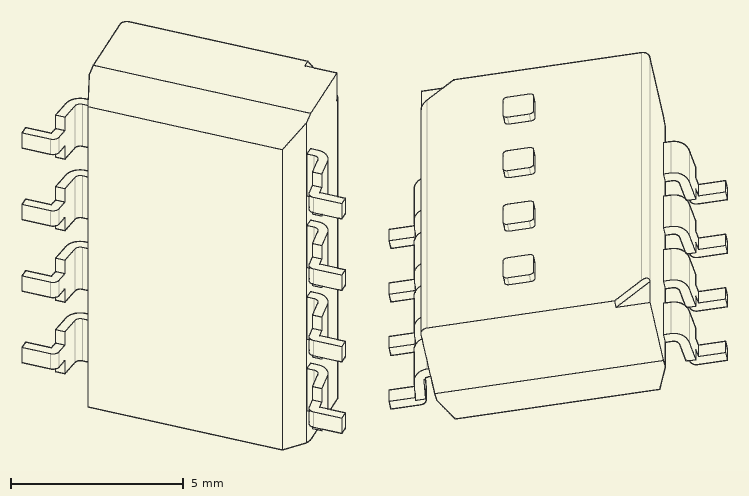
import cadquery as cq
import math


overall_depth = 4.28
body_width = 6.73
body_length = 11.63
body_front_y = 0.26
body_back_y = 4.02
back_edge_radius = 0.21
side_draft_depth = 1.05
end_draft_depth = 1.37
draft_slope = 0.34
corner_cut_leg = 1.0
corner_cut_depth = 0.25

row_count = 4
row_pitch = 2.55

knob_width = 0.9
knob_length = 0.95
knob_corner_radius = 0.13
knob_offset_x = 0.42
knob_offset_z = -0.02

lead_span = 9.91
lead_thickness = 0.29
lead_top_y = 1.62
shoulder_width = 1.5
shoulder_end_y = 0.55
foot_width = 0.55
shoulder_run = 0.22
upper_bend_radius = 0.47
lower_bend_radius = 0.2
leg_lean = 6.5

half_width = body_width / 2
half_length = body_length / 2
row_centers = [(i - (row_count - 1) / 2) * row_pitch for i in range(row_count)]


def polar(center, radius, degrees):
    angle = math.radians(degrees)
    return (center[0] + radius * math.cos(angle), center[1] + radius * math.sin(angle))


def tapered_outline(plane, half_size, draft_depth):
    """Outline of the housing, tapered toward its front, extruded both ways from the plane."""
    inset = draft_slope * draft_depth
    taper_start = body_front_y + draft_depth
    return cq.Workplane(plane).polyline([
        (half_size - inset, body_front_y),
        (half_size, taper_start),
        (half_size, body_back_y),
        (-half_size, body_back_y),
        (-half_size, taper_start),
        (-(half_size - inset), body_front_y),
    ]).close()


def make_body():
    across = tapered_outline("XY", half_width, side_draft_depth).extrude(half_length, both=True)
    across = across.edges("|Z and >Y").fillet(back_edge_radius)
    side_plane = cq.Plane(origin=(0, 0, 0), xDir=(0, 0, 1), normal=(-1, 0, 0))
    along = tapered_outline(side_plane, half_length, end_draft_depth).extrude(half_width, both=True)
    return across.intersect(along)


def make_corner_cut(side):
    """Triangular notch in a back corner: side is +1 for +X+Z and -1 for -X-Z."""
    x = side * half_width
    z = side * half_length
    leg = side * corner_cut_leg
    return (
        cq.Workplane("XZ", origin=(0, body_back_y, 0))
        .polyline([(x, z), (x - leg, z), (x, z - leg)])
        .close()
        .extrude(corner_cut_depth)
    )


def make_knob(z):
    """Actuator beside the lead row at the given Z."""
    return (
        cq.Workplane("XZ", origin=(knob_offset_x, overall_depth, z + knob_offset_z))
        .rect(knob_width, knob_length)
        .extrude(overall_depth - body_back_y)
        .edges("|Y")
        .fillet(knob_corner_radius)
    )


def make_lead(z):
    """Lead on the +X side, centred on the given Z."""
    inner_radius = upper_bend_radius - lead_thickness
    lean = math.radians(leg_lean)
    mid_bend = (90 + leg_lean) / 2

    upper = (half_width + shoulder_run, lead_top_y - upper_bend_radius)
    outer_leg_start = polar(upper, upper_bend_radius, leg_lean)
    heel_x = outer_leg_start[0] + (outer_leg_start[1] - lead_thickness) * math.tan(lean)

    rise = upper[1] - lower_bend_radius
    reach = (inner_radius + lower_bend_radius + rise * math.sin(lean)) / math.cos(lean)
    lower = (upper[0] + reach, lower_bend_radius)

    profile = (
        cq.Workplane("XY", origin=(0, 0, z))
        .moveTo(half_width, lead_top_y)
        .lineTo(upper[0], lead_top_y)
        .threePointArc(polar(upper, upper_bend_radius, mid_bend), outer_leg_start)
        .lineTo(heel_x, lead_thickness)
        .lineTo(lead_span / 2, lead_thickness)
        .lineTo(lead_span / 2, 0)
        .lineTo(lower[0], 0)
        .threePointArc(
            polar(lower, lower_bend_radius, 180 + mid_bend),
            polar(lower, lower_bend_radius, 180 + leg_lean),
        )
        .lineTo(*polar(upper, inner_radius, leg_lean))
        .threePointArc(polar(upper, inner_radius, mid_bend), (upper[0], upper[1] + inner_radius))
        .lineTo(half_width, upper[1] + inner_radius)
        .close()
    )
    lead = profile.extrude(shoulder_width / 2, both=True)

    side_width = (shoulder_width - foot_width) / 2
    side_center = (shoulder_width + foot_width) / 4
    for side in (-1, 1):
        relief = cq.Workplane("XY").box(lead_span, shoulder_end_y, side_width).translate(
            (lead_span / 2, shoulder_end_y / 2, z + side * side_center)
        )
        lead = lead.cut(relief)
    return lead


result = make_body()
for side in (-1, 1):
    result = result.cut(make_corner_cut(side))
for z in row_centers:
    lead = make_lead(z)
    result = result.union(lead).union(lead.mirror("YZ")).union(make_knob(z))